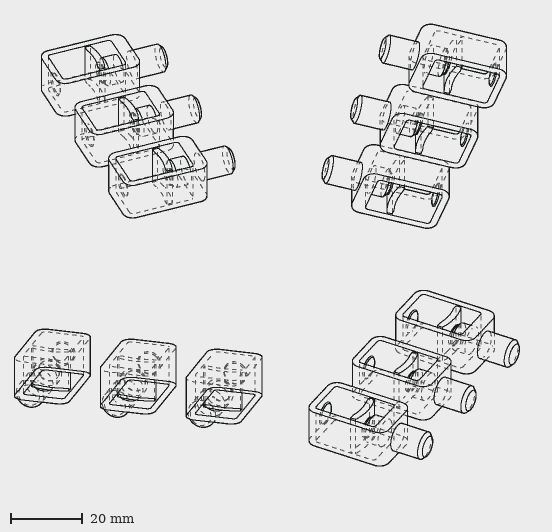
import cadquery as cq

clamp_count = 3
clamp_pitch = 25.0

frame_width = 16.0
frame_length = 25.0
frame_height = 11.5
frame_corner_radius = 3.0
side_wall = 2.0
front_wall = 2.0
screw_wall = 4.0
window_corner_radius = 1.0

screw_diameter = 8.05
screw_chamfer = 1.0
screw_protrusion = 9.5
screw_length = 18.6
neck_diameter = screw_diameter - 2 * screw_chamfer

saddle_width = 10.8
saddle_height = 11.7
saddle_thickness = 2.0
saddle_gap = 0.3
saddle_top_drop = 0.9
saddle_bottom_drop = 0.5
saddle_foot_width = 1.45

pad_top_diameter = neck_diameter
pad_rise = 0.3
pad_base_diameter = pad_top_diameter + 2 * pad_rise

screw_head_y = frame_length + screw_protrusion
screw_tip_y = screw_head_y - screw_length
crown_top_y = screw_tip_y - saddle_gap
crown_bottom_y = crown_top_y - saddle_thickness


def make_frame():
    """Ring with rounded outer and inner corners, centred on Z = 0."""
    window_width = frame_width - 2 * side_wall
    window_length = frame_length - front_wall - screw_wall
    outer = (
        cq.Workplane("XY")
        .box(frame_width, frame_length, frame_height)
        .edges("|Z")
        .fillet(frame_corner_radius)
        .translate((0, frame_length / 2, 0))
    )
    window = (
        cq.Workplane("XY")
        .box(window_width, window_length, frame_height)
        .edges("|Z")
        .fillet(window_corner_radius)
        .translate((0, front_wall + window_length / 2, 0))
    )
    return outer.cut(window)


def make_screw():
    """Shank chamfered at both ends, with a neck that runs into the saddle."""
    shank_radius = screw_diameter / 2
    neck_radius = neck_diameter / 2
    neck_end_y = crown_top_y - saddle_thickness / 2
    return (
        cq.Workplane("XY")
        .moveTo(0, neck_end_y)
        .lineTo(neck_radius, neck_end_y)
        .lineTo(neck_radius, screw_tip_y)
        .lineTo(shank_radius, screw_tip_y + screw_chamfer)
        .lineTo(shank_radius, screw_head_y - screw_chamfer)
        .lineTo(shank_radius - screw_chamfer, screw_head_y)
        .lineTo(0, screw_head_y)
        .close()
        .revolve(360, (0, 0), (0, 1))
    )


def make_saddle():
    """Plate with an arched top and an arched hollow between two flat feet."""
    half_width = saddle_width / 2
    hollow_half_width = half_width - saddle_foot_width
    top_end_y = crown_top_y - saddle_top_drop
    foot_y = crown_bottom_y - saddle_bottom_drop
    return (
        cq.Workplane("XY")
        .moveTo(-half_width, foot_y)
        .lineTo(-half_width, top_end_y)
        .threePointArc((0, crown_top_y), (half_width, top_end_y))
        .lineTo(half_width, foot_y)
        .lineTo(hollow_half_width, foot_y)
        .threePointArc((0, crown_bottom_y), (-hollow_half_width, foot_y))
        .close()
        .extrude(saddle_height / 2, both=True)
    )


def make_pad():
    """Cone frustum standing on the inner face of the front wall."""
    return (
        cq.Workplane("XY")
        .moveTo(0, front_wall)
        .lineTo(pad_base_diameter / 2, front_wall)
        .lineTo(pad_top_diameter / 2, front_wall + pad_rise)
        .lineTo(0, front_wall + pad_rise)
        .close()
        .revolve(360, (0, 0), (0, 1))
    )


def make_clamp():
    """One clamp: frame, screw, saddle and pad joined as a single solid."""
    return make_frame().union(make_screw()).union(make_saddle()).union(make_pad())


clamps = []
for index in range(clamp_count):
    clamp_x = (index - (clamp_count - 1) / 2) * clamp_pitch
    clamps.append(make_clamp().translate((clamp_x, 0, 0)).val())

result = cq.Compound.makeCompound(clamps)